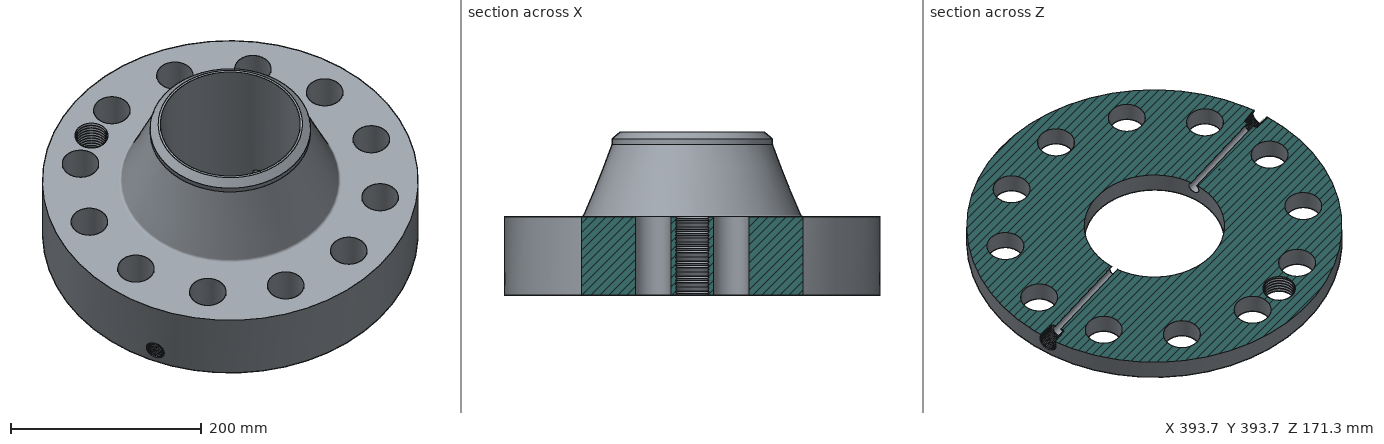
import cadquery as cq
import math

flange_diameter = 393.7
flange_thickness = 82.5
flange_radius = flange_diameter / 2

total_height = 171.3
bore_diameter = 146.5
pipe_diameter = 168.0
hub_diameter = 228.7
hub_fillet = 3.0
lip_height = 6.0
bevel_height = 7.0
land_width = 2.5

bolt_count = 12
bolt_circle_diameter = 317.5
bolt_hole_diameter = 38.0

jack_major_diameter = 34.5
jack_minor_diameter = 32.3
jack_pitch = 4.0

tap_height = 17.5
tap_bore_diameter = 12.5
tap_major_diameter = 21.3
tap_minor_diameter = 19.0
tap_end_diameter = 16.5
tap_pitch = 1.8
tap_thread_count = 11


def weld_neck_body():
    """Flange and neck revolved about Z, with a rounded hub foot and a through bore."""
    bore_radius = bore_diameter / 2
    pipe_radius = pipe_diameter / 2
    bevel_base = total_height - bevel_height
    body = (
        cq.Workplane("XZ")
        .moveTo(bore_radius, 0)
        .lineTo(flange_radius, 0)
        .lineTo(flange_radius, flange_thickness)
        .lineTo(hub_diameter / 2, flange_thickness)
        .lineTo(pipe_radius, bevel_base - lip_height)
        .lineTo(pipe_radius, bevel_base)
        .lineTo(bore_radius + land_width, total_height)
        .lineTo(bore_radius, total_height)
        .close()
        .revolve(360, (0, 0, 0), (0, 1, 0))
    )
    foot = cq.selectors.RadiusNthSelector(-2)
    return body.edges("%CIRCLE").edges(foot).fillet(hub_fillet)


def bolt_holes():
    """Through holes straddling the X and Y axes."""
    first_angle = 180 / bolt_count
    return (
        cq.Workplane("XY")
        .polarArray(bolt_circle_diameter / 2, first_angle, 360, bolt_count)
        .circle(bolt_hole_diameter / 2)
        .extrude(flange_thickness)
    )


def threaded_cutter(major, minor, end_minor, pitch, count):
    """Cutter along +Z from the origin: a core with V-shaped thread rings, narrowing to end_minor."""
    depth = (major - minor) / 2
    taper = (minor - end_minor) / 2 / count
    profile = cq.Workplane("XZ").moveTo(0, 0).lineTo(major / 2, 0)
    for turn in range(1, count + 1):
        root_radius = minor / 2 - taper * turn
        profile = profile.lineTo(root_radius, (turn - 0.5) * pitch)
        if turn < count:
            profile = profile.lineTo(root_radius + depth, turn * pitch)
    return (
        profile.lineTo(0, (count - 0.5) * pitch)
        .close()
        .revolve(360, (0, 0, 0), (0, 1, 0))
    )


def jack_screw_hole():
    """Parallel threaded hole through the flange on the -X side of the bolt circle."""
    turns = math.ceil(flange_thickness / jack_pitch) + 1
    cutter = threaded_cutter(
        jack_major_diameter, jack_minor_diameter, jack_minor_diameter, jack_pitch, turns
    )
    return cutter.mirror("XY").translate((-bolt_circle_diameter / 2, 0, flange_thickness))


def pressure_taps():
    """Opposed radial bores along Y, each with a tapered thread at the rim."""
    bore = (
        cq.Workplane("XZ", origin=(0, flange_radius, tap_height))
        .circle(tap_bore_diameter / 2)
        .extrude(flange_diameter)
    )
    thread = threaded_cutter(
        tap_major_diameter, tap_minor_diameter, tap_end_diameter, tap_pitch, tap_thread_count
    )
    front = thread.rotate((0, 0, 0), (1, 0, 0), -90).translate((0, -flange_radius, tap_height))
    return bore.union(front).union(front.mirror("XZ"))


result = (
    weld_neck_body()
    .cut(bolt_holes())
    .cut(jack_screw_hole())
    .cut(pressure_taps())
)